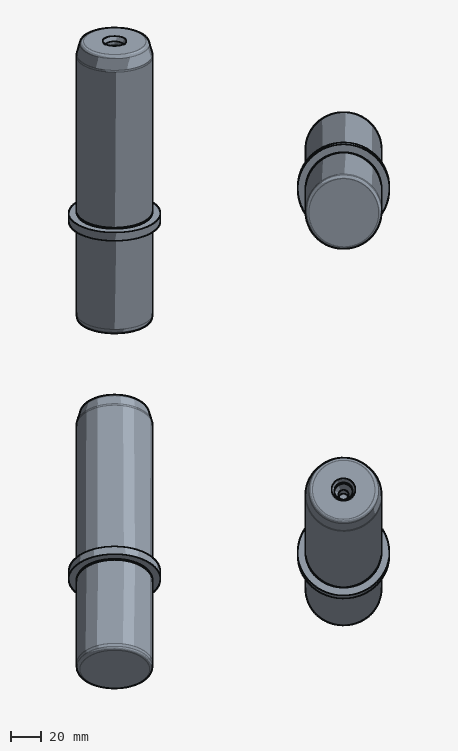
import cadquery as cq
import math

TOTAL_LENGTH = 200.0
SHAFT_RADIUS = 25.0

COLLAR_RADIUS = 30.0
COLLAR_BOTTOM = 70.0
COLLAR_THICKNESS = 6.0
COLLAR_TOP = COLLAR_BOTTOM + COLLAR_THICKNESS
GROOVE_WIDTH = 1.0
GROOVE_DEPTH = 0.5

TOP_TAPER_ANGLE = 15.0
TOP_TAPER_LENGTH = 10.0
TOP_BLEND_RADIUS = 5.0
TOP_EDGE_RADIUS = 2.5

BOTTOM_TAPER_ANGLE = 5.0
BOTTOM_TAPER_LENGTH = 4.0
BOTTOM_EDGE_RADIUS = 2.0

CONE_HALF_ANGLE = 30.0
COUNTERSINK_RADIUS = 7.75
BORE_RADIUS = 6.0
BORE_LENGTH = 2.8
PILOT_RADIUS = 3.375
HOLE_DEPTH = 18.0


def taper_inset(length, angle):
    """Radius lost along a taper of the given axial length and angle to the axis."""
    return length * math.tan(math.radians(angle))


def cone_depth(outer_radius, inner_radius):
    """Axial depth of a centre-hole cone between two radii."""
    return (outer_radius - inner_radius) / math.tan(math.radians(CONE_HALF_ANGLE))


def revolve_profile(points):
    """Solid of revolution about Z from a closed (radius, height) outline."""
    return cq.Workplane("XZ").polyline(points).close().revolve(360, (0, 0, 0), (0, 1, 0))


def cylinder(radius, bottom, height):
    """Upright cylinder on the part axis."""
    return cq.Workplane("XY").workplane(offset=bottom).circle(radius).extrude(height)


def make_shaft():
    """Round bar with a taper and a rounded edge at both ends."""
    taper_start = TOTAL_LENGTH - TOP_TAPER_LENGTH
    top_radius = SHAFT_RADIUS - taper_inset(TOP_TAPER_LENGTH, TOP_TAPER_ANGLE)
    bottom_radius = SHAFT_RADIUS - taper_inset(BOTTOM_TAPER_LENGTH, BOTTOM_TAPER_ANGLE)
    shaft = revolve_profile([
        (0, 0),
        (bottom_radius, 0),
        (SHAFT_RADIUS, BOTTOM_TAPER_LENGTH),
        (SHAFT_RADIUS, taper_start),
        (top_radius, TOTAL_LENGTH),
        (0, TOTAL_LENGTH),
    ])
    shaft = shaft.faces(">Z").edges().fillet(TOP_EDGE_RADIUS)
    shaft = shaft.faces("<Z").edges().fillet(BOTTOM_EDGE_RADIUS)

    blend_edge = cq.selectors.NearestToPointSelector((0, 0, taper_start))
    return shaft.edges("%CIRCLE").edges(blend_edge).fillet(TOP_BLEND_RADIUS)


def make_groove(bottom):
    """Ring that cuts a relief groove around the shaft."""
    outer = cylinder(COLLAR_RADIUS, bottom, GROOVE_WIDTH)
    core = cylinder(SHAFT_RADIUS - GROOVE_DEPTH, bottom, GROOVE_WIDTH)
    return outer.cut(core)


def make_centre_hole():
    """Stepped blind centre hole, as a solid to be cut from the top face."""
    bore_top = TOTAL_LENGTH - cone_depth(COUNTERSINK_RADIUS, BORE_RADIUS)
    bore_bottom = bore_top - BORE_LENGTH
    pilot_top = bore_bottom - cone_depth(BORE_RADIUS, PILOT_RADIUS)
    hole_bottom = TOTAL_LENGTH - HOLE_DEPTH
    return revolve_profile([
        (0, TOTAL_LENGTH),
        (COUNTERSINK_RADIUS, TOTAL_LENGTH),
        (BORE_RADIUS, bore_top),
        (BORE_RADIUS, bore_bottom),
        (PILOT_RADIUS, pilot_top),
        (PILOT_RADIUS, hole_bottom),
        (0, hole_bottom),
    ])


pillar = make_shaft()
for groove_bottom in (COLLAR_BOTTOM - GROOVE_WIDTH, COLLAR_TOP):
    pillar = pillar.cut(make_groove(groove_bottom))
pillar = pillar.union(cylinder(COLLAR_RADIUS, COLLAR_BOTTOM, COLLAR_THICKNESS))

result = pillar.cut(make_centre_hole())